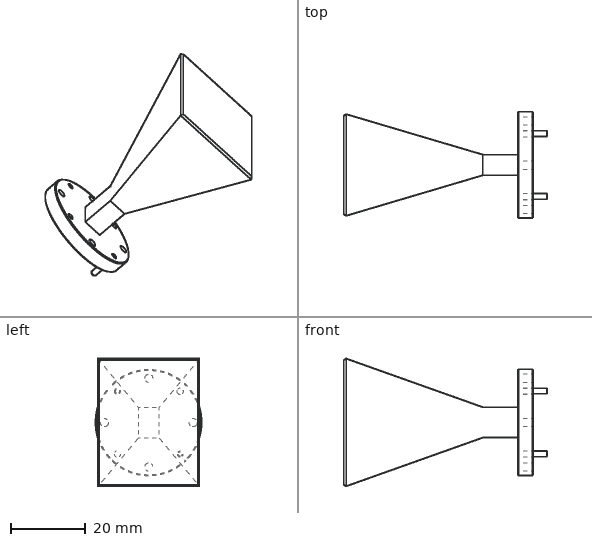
import cadquery as cq
import math

overall_length = 54.65
flange_thickness = 4.15
pin_projection = 3.8
guide_length = 9.3
rim_length = 0.65
flange_back_x = overall_length / 2 - pin_projection
flange_front_x = flange_back_x - flange_thickness
throat_x = flange_front_x - guide_length
mouth_x = -overall_length / 2
rim_x = mouth_x + rim_length

horn_width = 27.35
horn_height = 34.35
guide_width = 5.6
guide_height = 8.2
rim_inset = 0.45
mouth_width = horn_width - 2 * rim_inset
mouth_height = horn_height - 2 * rim_inset

flange_diameter = 28.6
flange_chamfer = 0.3
hole_circle_radius = 11.9
screw_hole_diameter = 2.2
pin_diameter = 1.6
dowel_hole_diameter = 1.7
pin_chamfer = 0.2
screw_angles = (0, 90, 180, 270)
pin_angles = (45, 225)
dowel_hole_angles = (135, 315)


def circle_point(angle):
    """Y and Z of a point on the hole circle, with the angle measured from +Y towards +Z."""
    radians = math.radians(angle)
    return hole_circle_radius * math.cos(radians), hole_circle_radius * math.sin(radians)


def cross_plane(x):
    """Plane across the axis at x: local x is Y and local y is Z."""
    return cq.Workplane("YZ", origin=(x, 0, 0))


def tapered_block(start_x, start_size, end_x, end_size):
    """Solid frustum between two centred rectangles."""
    return (
        cross_plane(start_x)
        .rect(*start_size)
        .workplane(offset=end_x - start_x)
        .rect(*end_size)
        .loft(ruled=True)
    )


def hole_tools(angles, diameter):
    """Cylinders through the flange thickness at the given angles on the hole circle."""
    return (
        cross_plane(flange_front_x)
        .pushPoints([circle_point(angle) for angle in angles])
        .circle(diameter / 2)
        .extrude(flange_thickness)
    )


def make_flange():
    """Round flange with chamfered rims, screw holes, open dowel holes and pin holes."""
    flange = (
        cross_plane(flange_front_x)
        .circle(flange_diameter / 2)
        .extrude(flange_thickness)
        .edges()
        .chamfer(flange_chamfer)
    )
    screw_holes = hole_tools(screw_angles, screw_hole_diameter)
    dowel_holes = hole_tools(dowel_hole_angles, dowel_hole_diameter)
    pin_holes = hole_tools(pin_angles, pin_diameter)
    return flange.cut(screw_holes).cut(dowel_holes).cut(pin_holes)


def make_horn_antenna():
    """Bevelled mouth, flare, waveguide and flange as one solid."""
    mouth_size = (mouth_width, mouth_height)
    horn_size = (horn_width, horn_height)
    guide_size = (guide_width, guide_height)
    rim = tapered_block(mouth_x, mouth_size, rim_x, horn_size)
    flare = tapered_block(rim_x, horn_size, throat_x, guide_size)
    guide = cross_plane(throat_x).rect(*guide_size).extrude(guide_length)
    return rim.union(flare).union(guide).union(make_flange())


def make_pin(angle):
    """Dowel pin flush with the flange front, with a chamfered free end."""
    return (
        cross_plane(flange_front_x)
        .center(*circle_point(angle))
        .circle(pin_diameter / 2)
        .extrude(flange_thickness + pin_projection)
        .faces(">X")
        .chamfer(pin_chamfer)
    )


horn_antenna = make_horn_antenna()
pins = [make_pin(angle) for angle in pin_angles]

result = cq.Compound.makeCompound([horn_antenna.val(), *[pin.val() for pin in pins]])